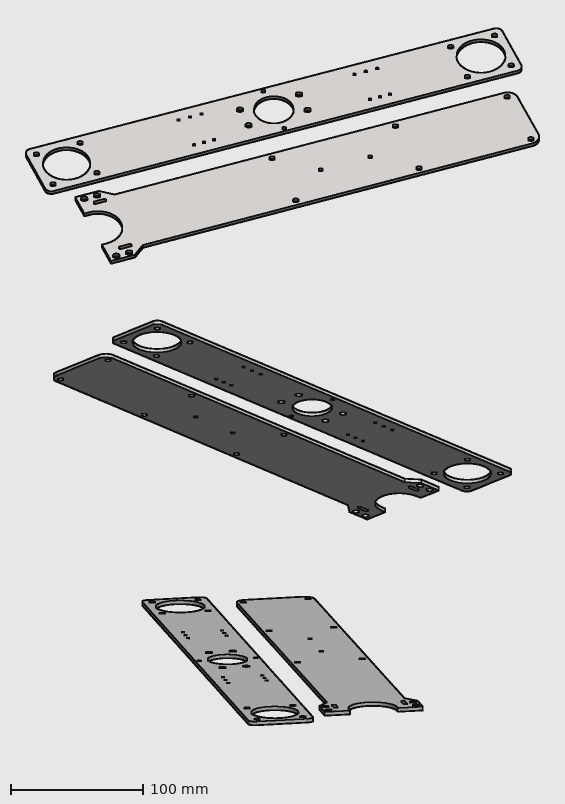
import cadquery as cq
import math

THICKNESS = 3.0
OVERALL_LENGTH = 386.0

LONG_CENTRE_X = -43.5
LONG_WIDTH = 50.0
LONG_CORNER_RADIUS = 5.0
LONG_TILT = -0.12

END_OPENING_Y = 168.0
UPPER_OPENING_DIAMETER = 37.0
LOWER_OPENING_DIAMETER = 36.0
CENTRE_OPENING_DIAMETER = 30.0

END_SCREW_DIAMETER = 4.2
END_SCREW_PITCH = 35.5
CENTRE_SCREW_DIAMETER = 5.0
CENTRE_SCREW_PITCH_X = 18.5
CENTRE_SCREW_PITCH_Y = 48.0

SIDE_HOLE_DIAMETER = 3.0
SIDE_HOLE_PITCH = 44.0

PIN_HOLE_DIAMETER = 2.0
PIN_COLUMN_PITCH = 30.0
LEFT_PIN_PITCH = 9.3
RIGHT_PIN_PITCH = 8.0
PIN_HOLES_PER_COLUMN = 3
UPPER_PINS_Y = 80.3
LOWER_PINS_Y = -62.0

FOOTED_CENTRE_X = 31.3
STRIP_WIDTH = 60.2
STRIP_TOP_Y = 177.5
STRIP_CORNER_RADIUS = 8.0
FOOT_WIDTH = 76.0
FOOT_BOTTOM_Y = -175.2
FLARE_TOP_Y = -146.3
FLARE_BOTTOM_Y = -156.0

ARCH_DIAMETER = 37.0
ARCH_CENTRE_Y = -171.5

MOUNT_HOLE_DIAMETER = 4.2
MOUNT_HOLE_PITCH_X = 50.0
MOUNT_ROWS_Y = (170.2, 79.5, -20.5)

CENTRELINE_HOLE_DIAMETER = 3.0
CENTRELINE_HOLES_Y = (49.5, 9.3)

FOOT_HOLE_DIAMETER = 5.0
FOOT_HOLE_PITCH_X = 68.0
FOOT_HOLE_ROWS_Y = (-159.0, -169.5)

SLOT_WIDTH = 3.0
SLOT_LENGTH = 10.0
SLOT_PITCH_X = 53.5
SLOT_CENTRE_Y = -159.5


def drill(plate, points, diameter):
    """Cut a through hole at each (x, y) point."""
    cutters = cq.Workplane("XY").pushPoints(points).circle(diameter / 2).extrude(THICKNESS)
    return plate.cut(cutters)


def mirrored_pair(pitch_x, y):
    """Two points at the same height, symmetric about X = 0."""
    return [(-pitch_x / 2, y), (pitch_x / 2, y)]


def rectangle_points(centre_y, pitch_x, pitch_y):
    """Four corner points of a rectangle centred on X = 0."""
    return [point for side in (-1, 1) for point in mirrored_pair(pitch_x, centre_y + side * pitch_y / 2)]


def column_points(x, centre_y, pitch):
    """A vertical row of pin holes centred on centre_y."""
    middle = (PIN_HOLES_PER_COLUMN - 1) / 2
    return [(x, centre_y + (i - middle) * pitch) for i in range(PIN_HOLES_PER_COLUMN)]


def long_plate_length():
    """Plate length that makes the tilted, round-cornered plate span OVERALL_LENGTH along Y."""
    tilt = math.radians(abs(LONG_TILT))
    corner_x = LONG_WIDTH / 2 - LONG_CORNER_RADIUS
    corner_reach = OVERALL_LENGTH / 2 - LONG_CORNER_RADIUS
    corner_y = (corner_reach - corner_x * math.sin(tilt)) / math.cos(tilt)
    return 2 * (corner_y + LONG_CORNER_RADIUS)


def make_long_plate():
    plate = (
        cq.Workplane("XY")
        .rect(LONG_WIDTH, long_plate_length())
        .extrude(THICKNESS)
        .edges("|Z")
        .fillet(LONG_CORNER_RADIUS)
    )

    plate = drill(plate, [(0, END_OPENING_Y)], UPPER_OPENING_DIAMETER)
    plate = drill(plate, [(0, -END_OPENING_Y)], LOWER_OPENING_DIAMETER)
    plate = drill(plate, [(0, 0)], CENTRE_OPENING_DIAMETER)

    for opening_y in (END_OPENING_Y, -END_OPENING_Y):
        corners = rectangle_points(opening_y, END_SCREW_PITCH, END_SCREW_PITCH)
        plate = drill(plate, corners, END_SCREW_DIAMETER)
    centre_corners = rectangle_points(0, CENTRE_SCREW_PITCH_X, CENTRE_SCREW_PITCH_Y)
    plate = drill(plate, centre_corners, CENTRE_SCREW_DIAMETER)
    plate = drill(plate, mirrored_pair(SIDE_HOLE_PITCH, 0), SIDE_HOLE_DIAMETER)

    for group_y in (UPPER_PINS_Y, LOWER_PINS_Y):
        left_column = column_points(-PIN_COLUMN_PITCH / 2, group_y, LEFT_PIN_PITCH)
        right_column = column_points(PIN_COLUMN_PITCH / 2, group_y, RIGHT_PIN_PITCH)
        plate = drill(plate, left_column + right_column, PIN_HOLE_DIAMETER)

    return plate.rotate((0, 0, 0), (0, 0, 1), LONG_TILT).translate((LONG_CENTRE_X, 0, 0))


def footed_blank():
    """Strip with rounded top corners, flaring to the wider foot."""
    right_side = [
        (STRIP_WIDTH / 2, STRIP_TOP_Y),
        (STRIP_WIDTH / 2, FLARE_TOP_Y),
        (FOOT_WIDTH / 2, FLARE_BOTTOM_Y),
        (FOOT_WIDTH / 2, FOOT_BOTTOM_Y),
    ]
    left_side = [(-x, y) for x, y in reversed(right_side)]
    blank = cq.Workplane("XY").polyline(right_side + left_side).close().extrude(THICKNESS)
    return blank.faces(">Y").edges("|Z").fillet(STRIP_CORNER_RADIUS)


def arch_cutter():
    """Round-topped notch that opens through the bottom edge of the foot."""
    radius = ARCH_DIAMETER / 2
    return (
        cq.Workplane("XY")
        .moveTo(-radius, FOOT_BOTTOM_Y)
        .lineTo(-radius, ARCH_CENTRE_Y)
        .threePointArc((0, ARCH_CENTRE_Y + radius), (radius, ARCH_CENTRE_Y))
        .lineTo(radius, FOOT_BOTTOM_Y)
        .close()
        .extrude(THICKNESS)
    )


def slot_cutters():
    return (
        cq.Workplane("XY")
        .pushPoints(mirrored_pair(SLOT_PITCH_X, SLOT_CENTRE_Y))
        .slot2D(SLOT_LENGTH, SLOT_WIDTH, 90)
        .extrude(THICKNESS)
    )


def make_footed_plate():
    plate = footed_blank().cut(arch_cutter()).cut(slot_cutters())
    for row_y in MOUNT_ROWS_Y:
        plate = drill(plate, mirrored_pair(MOUNT_HOLE_PITCH_X, row_y), MOUNT_HOLE_DIAMETER)
    for row_y in FOOT_HOLE_ROWS_Y:
        plate = drill(plate, mirrored_pair(FOOT_HOLE_PITCH_X, row_y), FOOT_HOLE_DIAMETER)
    plate = drill(plate, [(0, y) for y in CENTRELINE_HOLES_Y], CENTRELINE_HOLE_DIAMETER)
    return plate.translate((FOOTED_CENTRE_X, 0, 0))


long_plate = make_long_plate()
footed_plate = make_footed_plate()

result = cq.Compound.makeCompound([long_plate.val(), footed_plate.val()])